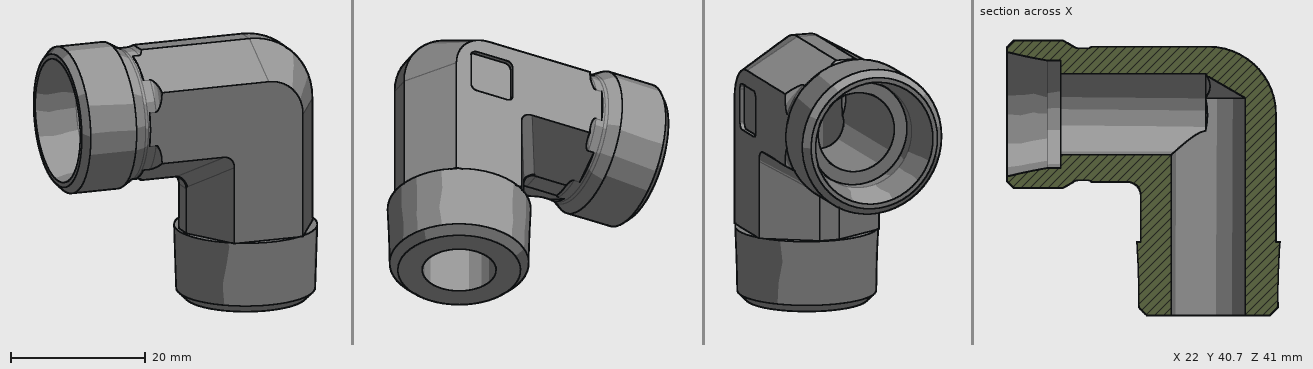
import cadquery as cq
import math

overall_height = 41.0
collar_diameter = 22.0
leg_length = overall_height - collar_diameter / 2

hex_across_flats = 19.0
ridge_half_height = 10.1
body_length = 19.0
crotch_fillet = 2.0

edge_margin = 0.4

neck_diameter = 19.7
relief_radius = 1.0
relief_start = 17.0
collar_start = 21.65
collar_chamfer = 1.02
shoulder_angle = 30.0
shoulder_fillet = 1.0

spigot_large_diameter = 21.35
spigot_small_diameter = 20.75
spigot_chamfer = 1.25

socket_mouth_diameter = 18.55
socket_diameter = 16.0
socket_taper_angle = 12.0
socket_depth = 8.0
side_bore_diameter = 12.0
side_bore_end = -0.4
lower_bore_diameter = 11.0
lower_bore_end = 2.4
drill_half_angle = 60.0

pad_size = 7.0
pad_corner_radius = 1.0
pad_depth = 0.7
pad_offset = -0.5

half_flats = hex_across_flats / 2
side_edge = half_flats * math.tan(math.radians(30))
hex_corner = half_flats / math.cos(math.radians(30))
ridge_half_width = (hex_corner - ridge_half_height) * math.tan(math.radians(60))


def half_section():
    """Corners of the upper half of the leg section, from left to right."""
    return [
        (-half_flats, 0),
        (-half_flats, side_edge),
        (-ridge_half_width, ridge_half_height),
        (ridge_half_width, ridge_half_height),
        (half_flats, side_edge),
        (half_flats, 0),
    ]


def hex_leg(plane, length):
    """Prism from the axis crossing along one leg."""
    upper = half_section()[1:-1]
    lower = [(-x, -y) for x, y in upper]
    return cq.Workplane(plane).polyline(upper + lower).close().extrude(length)


def turned_about_y(points):
    """Revolve (radius, distance along -Y) points about the -Y leg axis."""
    outline = [(radius, -distance) for radius, distance in points]
    return cq.Workplane("XY").polyline(outline).close().revolve(360, (0, 0), (0, 1))


def turned_about_z(points):
    """Revolve (radius, distance along -Z) points about the -Z leg axis."""
    outline = [(radius, -distance) for radius, distance in points]
    return cq.Workplane("XZ").polyline(outline).close().revolve(360, (0, 0), (0, 1))


def make_body():
    """Two prisms joined by a quarter-turn bend outside and a filleted mitre inside."""
    side_leg = hex_leg("XZ", body_length)
    lower_leg = hex_leg("XY", -body_length)
    bend = cq.Workplane("XY").polyline(half_section()).close().revolve(90, (0, 0), (1, 0))
    body = side_leg.union(lower_leg).union(bend)
    near = -(side_edge + edge_margin)
    far = -(ridge_half_height + edge_margin)
    mitre_box = cq.selectors.BoxSelector((-half_flats, far, far), (half_flats, near, near))
    return body.edges(mitre_box).fillet(crotch_fillet)


def make_relief():
    """Ring that turns the ends of the hexagon ridges down to the neck."""
    neck_radius = neck_diameter / 2
    outer_radius = hex_corner + edge_margin
    arc_shift = relief_radius * math.sqrt(0.5)
    centre = (neck_radius + relief_radius, -relief_start - relief_radius)
    return (
        cq.Workplane("XY")
        .moveTo(neck_radius, -body_length)
        .lineTo(neck_radius, centre[1])
        .threePointArc((centre[0] - arc_shift, centre[1] + arc_shift), (centre[0], -relief_start))
        .lineTo(outer_radius, -relief_start)
        .lineTo(outer_radius, -body_length)
        .close()
        .revolve(360, (0, 0), (0, 1))
    )


def make_collar():
    """Neck widening over a conical shoulder to the chamfered collar."""
    neck_radius = neck_diameter / 2
    collar_radius = collar_diameter / 2
    shoulder_run = (collar_radius - neck_radius) / math.tan(math.radians(shoulder_angle))
    shoulder_foot = collar_start - shoulder_run
    collar = turned_about_y([
        (0, body_length),
        (neck_radius, body_length),
        (neck_radius, shoulder_foot),
        (collar_radius, collar_start),
        (collar_radius, leg_length - collar_chamfer),
        (collar_radius - collar_chamfer, leg_length),
        (0, leg_length),
    ])
    foot_circle = cq.selectors.NearestToPointSelector((0, -shoulder_foot, 0))
    return collar.edges(foot_circle).fillet(shoulder_fillet)


def make_spigot():
    """Cone narrowing towards its chamfered mouth."""
    small_radius = spigot_small_diameter / 2
    return turned_about_z([
        (0, body_length),
        (spigot_large_diameter / 2, body_length),
        (small_radius, leg_length - spigot_chamfer),
        (small_radius - spigot_chamfer, leg_length),
        (0, leg_length),
    ])


def drilled_hole(diameter, end):
    """(radius, distance) points of a hole from the leg mouth with a drill-point end."""
    radius = diameter / 2
    point_length = radius / math.tan(math.radians(drill_half_angle))
    return [(0, leg_length), (radius, leg_length), (radius, -end), (0, -end - point_length)]


def make_socket():
    """Tapered mouth leading to a straight seat in front of the side bore."""
    mouth_radius = socket_mouth_diameter / 2
    radius = socket_diameter / 2
    taper_run = (mouth_radius - radius) / math.tan(math.radians(socket_taper_angle))
    return turned_about_y([
        (0, leg_length),
        (mouth_radius, leg_length),
        (radius, leg_length - taper_run),
        (radius, leg_length - socket_depth),
        (0, leg_length - socket_depth),
    ])


def make_pad():
    """Rounded square block to be sunk into the -X flat."""
    return (
        cq.Workplane("YZ", origin=(-half_flats, pad_offset, pad_offset))
        .rect(pad_size, pad_size)
        .extrude(pad_depth)
        .edges("|X")
        .fillet(pad_corner_radius)
    )


result = (
    make_body()
    .cut(make_relief())
    .union(make_collar())
    .union(make_spigot())
    .cut(turned_about_y(drilled_hole(side_bore_diameter, side_bore_end)))
    .cut(turned_about_z(drilled_hole(lower_bore_diameter, lower_bore_end)))
    .cut(make_socket())
    .cut(make_pad())
)